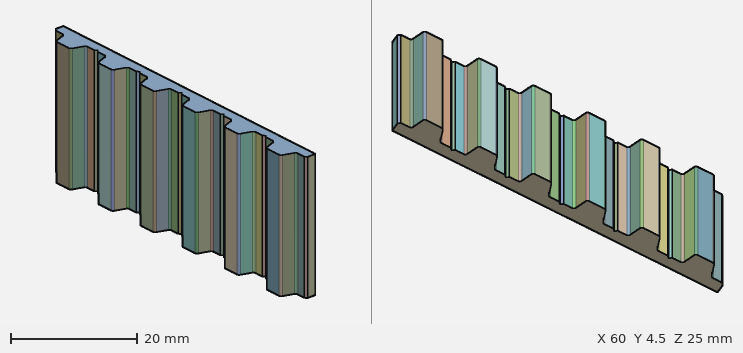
import cadquery as cq
import math

length = 60.0
width = 25.0
thickness = 4.5
backing = 2.0
tooth_count = 6
pitch = length / tooth_count

root_width = 5.3
flank_angle = 20.0
tooth_radius = 0.5
tooth_height = thickness - backing
tip_width = root_width - 2 * tooth_height * math.tan(math.radians(flank_angle))

groove_depth = 0.35
groove_half_width = 0.4

back_y = thickness / 2
land_y = back_y - backing
tip_y = -thickness / 2
groove_y = land_y + groove_depth


def pitch_points(center_x):
    """Toothed-side outline of one pitch, from groove bottom to groove bottom."""
    start = center_x - pitch / 2
    end = center_x + pitch / 2
    return [
        (start, groove_y),
        (start + groove_half_width, land_y),
        (center_x - root_width / 2, land_y),
        (center_x - tip_width / 2, tip_y),
        (center_x + tip_width / 2, tip_y),
        (center_x + root_width / 2, land_y),
        (end - groove_half_width, land_y),
        (end, groove_y),
    ]


def tooth_edges(body, center_x):
    """Root and tip edges of one tooth, along the belt width."""
    margin = 0.05
    reach = root_width / 2 + margin
    box = cq.selectors.BoxSelector(
        (center_x - reach, tip_y - margin, -width),
        (center_x + reach, land_y + margin, width),
    )
    return body.edges("|Z").edges(box)


tooth_centers = [(i - (tooth_count - 1) / 2) * pitch for i in range(tooth_count)]

outline = [(-length / 2, back_y), (-length / 2, groove_y)]
for center in tooth_centers:
    outline += pitch_points(center)[1:]
outline.append((length / 2, back_y))

result = cq.Workplane("XY").polyline(outline).close().extrude(width / 2, both=True)

for center in tooth_centers:
    result = tooth_edges(result, center).fillet(tooth_radius)